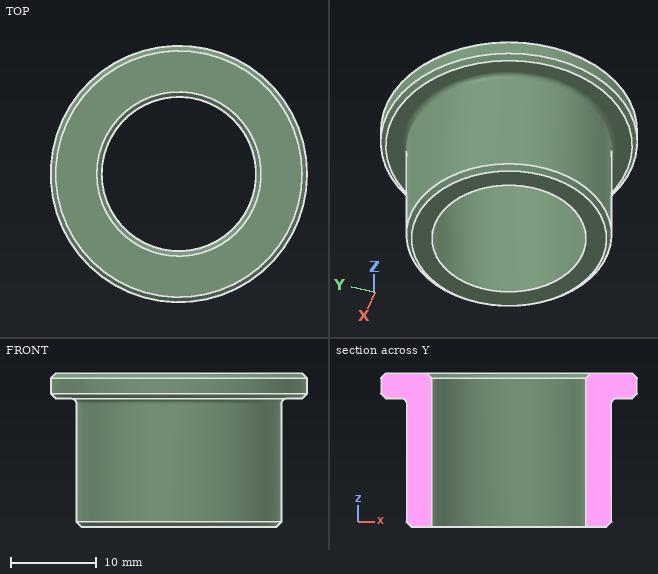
import cadquery as cq

flange_diameter = 30.0
flange_thickness = 3.0
body_diameter = 24.0
bore_diameter = 18.0
total_height = 18.0
edge_chamfer = 0.6
neck_fillet = 0.6

body_length = total_height - flange_thickness


def make_body():
    """Cylindrical sleeve with its bottom outer edge chamfered."""
    body = cq.Workplane("XY").circle(body_diameter / 2).extrude(body_length)
    return body.faces("<Z").chamfer(edge_chamfer)


def make_flange():
    """Collar on top of the sleeve, chamfered on both rims."""
    flange = cq.Workplane("XY").workplane(offset=body_length)
    flange = flange.circle(flange_diameter / 2).extrude(flange_thickness)
    return flange.faces("<Z or >Z").edges().chamfer(edge_chamfer)


def make_neck():
    """Ring with a concave arc that blends the sleeve into the flange underside."""
    body_radius = body_diameter / 2
    arc_start = (body_radius + neck_fillet, body_length)
    arc_end = (body_radius, body_length - neck_fillet)
    profile = (
        cq.Workplane("XZ")
        .moveTo(bore_diameter / 2, body_length)
        .lineTo(*arc_start)
        .radiusArc(arc_end, -neck_fillet)
        .lineTo(bore_diameter / 2, body_length - neck_fillet)
        .close()
    )
    return profile.revolve(360, (0, 0), (0, 1))


def cut_bore(bushing):
    """Through bore with a chamfered mouth at the flange face."""
    bored = bushing.faces(">Z").workplane().hole(bore_diameter)
    bore_mouth = cq.selectors.RadiusNthSelector(0)
    return bored.faces(">Z").edges(bore_mouth).chamfer(edge_chamfer)


bushing = make_body().union(make_flange()).union(make_neck())
result = cut_bore(bushing)